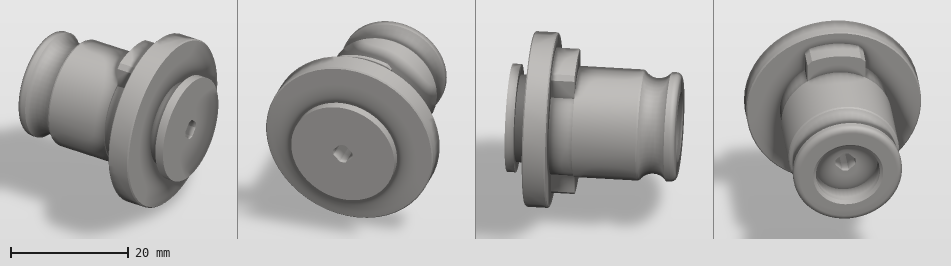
import cadquery as cq

RIM_END = 1.75
GROOVE_END = 6.3
BODY_END = 17.5
FLANGE_START = 21.5
FLANGE_END = 25.5
END_DISC_START = 27.5
TOTAL_LENGTH = 29.0

RIM_DIAMETER = 18.7
BODY_DIAMETER = 19.0
COLLAR_DIAMETER = 18.5
FLANGE_DIAMETER = 30.0
NECK_DIAMETER = 15.0
END_DISC_DIAMETER = COLLAR_DIAMETER
GROOVE_BOTTOM_DIAMETER = 16.32

RIM_FILLET = 1.0
GROOVE_EDGE_LENGTH = 0.3
FLANGE_CHAMFER = 0.2

LUG_WIDTH = 10.0
LUG_TIP_DIAMETER = 25.5
LUG_CHAMFER = 1.5

BORE_DIAMETER = 11.0
BORE_DEPTH = 4.0
BORE_CHAMFER = 0.5
SQUARE_HOLE_SIDE = 3.12
SQUARE_HOLE_CORNER_DIAMETER = 3.5


def cylinder(start, end, diameter):
    """Solid cylinder on the X axis between two axial stations."""
    return cq.Workplane("YZ").workplane(offset=start).circle(diameter / 2).extrude(end - start)


def make_nose():
    """Revolved nose: rounded rim, concave groove and the cylindrical body."""
    rim_radius = RIM_DIAMETER / 2
    body_radius = BODY_DIAMETER / 2
    profile = (
        cq.Workplane("XY")
        .lineTo(0, rim_radius - RIM_FILLET)
        .radiusArc((RIM_FILLET, rim_radius), RIM_FILLET)
        .lineTo(RIM_END, rim_radius)
        .threePointArc(
            ((RIM_END + GROOVE_END) / 2, GROOVE_BOTTOM_DIAMETER / 2),
            (GROOVE_END, rim_radius),
        )
        .lineTo(GROOVE_END + GROOVE_EDGE_LENGTH, body_radius)
        .lineTo(BODY_END, body_radius)
        .lineTo(BODY_END, 0)
        .close()
    )
    return profile.revolve(360, (0, 0, 0), (1, 0, 0))


def make_flange():
    """Large disc with both outer edges chamfered."""
    return cylinder(FLANGE_START, FLANGE_END, FLANGE_DIAMETER).edges().chamfer(FLANGE_CHAMFER)


def make_lugs():
    """Bar across the axis with arched tips and chamfered corners."""
    bar = (
        cq.Workplane("YZ")
        .workplane(offset=BODY_END)
        .rect(LUG_WIDTH, LUG_TIP_DIAMETER)
        .extrude(FLANGE_START - BODY_END)
        .edges("|X")
        .chamfer(LUG_CHAMFER)
    )
    return bar.intersect(cylinder(BODY_END, FLANGE_START, LUG_TIP_DIAMETER))


def make_bore():
    """Blind bore with a chamfered mouth."""
    bore = cylinder(0, BORE_DEPTH, BORE_DIAMETER)
    mouth_edge = cq.Workplane("YZ").circle(BORE_DIAMETER / 2 + BORE_CHAMFER)
    mouth = mouth_edge.extrude(BORE_CHAMFER, taper=45)
    return bore.union(mouth)


def make_square_hole():
    """Square standing on its corner, its corners rounded by a circle about the axis."""
    square = cq.Workplane("YZ").rect(SQUARE_HOLE_SIDE, SQUARE_HOLE_SIDE).extrude(TOTAL_LENGTH)
    square = square.rotate((0, 0, 0), (1, 0, 0), 45)
    return square.intersect(cylinder(0, TOTAL_LENGTH, SQUARE_HOLE_CORNER_DIAMETER))


result = (
    make_nose()
    .union(cylinder(BODY_END, FLANGE_START, COLLAR_DIAMETER))
    .union(make_lugs())
    .union(make_flange())
    .union(cylinder(FLANGE_END, END_DISC_START, NECK_DIAMETER))
    .union(cylinder(END_DISC_START, TOTAL_LENGTH, END_DISC_DIAMETER))
    .cut(make_bore())
    .cut(make_square_hole())
)